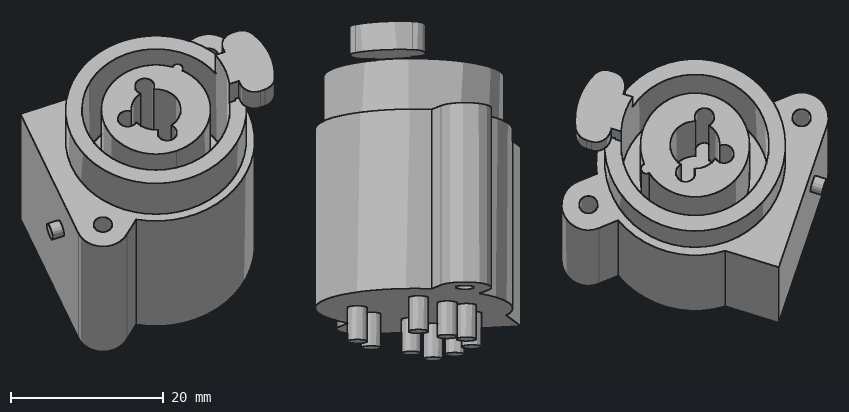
import cadquery as cq
import math


body_height = 24.0
collar_height = 7.0
latch_height = 4.2
latch_gap = 0.4
terminal_length = 4.5
collar_top = body_height + collar_height
latch_top = collar_top + latch_height

body_radius = 12.95
ear_radius = 3.5
ear_x = 10.0
ear_y = 11.45
ear_hole_radius = 1.2
corner_x = -10.5
front_y = -(ear_y + ear_radius)

collar_radius = 11.85
collar_bore_radius = 9.7
plug_radius = 7.15
key_radius = 0.7
key_angle = 135
socket_radius = 3.25
contact_radius = 1.27
contact_circle_radius = 4.0
contact_angles = (0, 180, 270)
groove_depth = 15.0

latch_width = 10.06
latch_inner_y = 10.7
latch_outer_y = 16.06
latch_crown_radius = 9.0
latch_corner_radius = 2.0
stem_width = 5.0
stem_outer_y = 10.2

pin_radius = 1.1
pin_x = 3.95
pin_z = body_height - 6.95
pin_end_y = -16.53

terminal_radius = 1.3
terminal_places = [
    (-7.14, 0),
    (-6.50, -5.07),
    (-5.13, 2.25),
    (-3.05, -9.30),
    (-2.37, 6.48),
    (0.47, -11.41),
    (2.25, -7.04),
    (6.42, -2.25),
    (7.08, 2.25),
]


def cylinder(x, y, radius, bottom, height):
    """Upright cylinder centred at (x, y) with its base at Z = bottom."""
    return cq.Workplane("XY", origin=(x, y, bottom)).circle(radius).extrude(height)


def block(x_min, x_max, y_min, y_max, bottom, height):
    """Upright rectangular block between the given limits."""
    base = cq.Workplane("XY", origin=(x_min, y_min, bottom))
    return base.rect(x_max - x_min, y_max - y_min, centered=False).extrude(height)


def make_body():
    """Round body with a square front corner and two opposite screw ears."""
    body = cylinder(0, 0, body_radius, 0, body_height)
    body = body.union(block(corner_x, 0, front_y, 0, 0, body_height))
    body = body.union(block(0, ear_x, front_y, -ear_y, 0, body_height))

    ear_spacing = 2 * math.hypot(ear_x, ear_y)
    ear_direction = math.degrees(math.atan2(-ear_y, ear_x))
    ears = (
        cq.Workplane("XY")
        .slot2D(ear_spacing + 2 * ear_radius, 2 * ear_radius, ear_direction)
        .extrude(body_height)
    )
    return body.union(ears)


def cut_ear_holes(part):
    """Drill the screw hole through each ear."""
    for side in (-1, 1):
        part = part.cut(cylinder(side * ear_x, -side * ear_y, ear_hole_radius, 0, body_height))
    return part


def make_plug():
    """Keyed round plug that stands in the ring groove."""
    floor = collar_top - groove_depth
    key_x = plug_radius * math.cos(math.radians(key_angle))
    key_y = plug_radius * math.sin(math.radians(key_angle))
    plug = cylinder(0, 0, plug_radius, floor, groove_depth)
    return plug.union(cylinder(key_x, key_y, key_radius, floor, groove_depth))


def cut_socket(part):
    """Cut the central jack opening and the contact openings around it."""
    floor = collar_top - groove_depth
    part = part.cut(cylinder(0, 0, socket_radius, floor, groove_depth))
    for angle in contact_angles:
        x = contact_circle_radius * math.cos(math.radians(angle))
        y = contact_circle_radius * math.sin(math.radians(angle))
        part = part.cut(cylinder(x, y, contact_radius, floor, groove_depth))
    return part


def make_latch():
    """Crowned thumb tab on a stem that is flush with the collar bore."""
    tab_bottom = collar_top + latch_gap
    tab_height = latch_top - tab_bottom
    half_width = latch_width / 2
    tab = block(-half_width, half_width, latch_inner_y, latch_outer_y, tab_bottom, tab_height)
    crown_y = latch_outer_y - latch_crown_radius
    tab = tab.intersect(cylinder(0, crown_y, latch_crown_radius, tab_bottom, tab_height))
    tab = tab.edges("|Z").fillet(latch_corner_radius)

    half_stem = stem_width / 2
    stem = block(-half_stem, half_stem, 0, stem_outer_y, collar_top, latch_height)
    neck = block(-half_stem, half_stem, 0, latch_inner_y, tab_bottom, tab_height)
    bore = cylinder(0, 0, collar_bore_radius, collar_top, latch_height)
    return tab.union(stem.union(neck).cut(bore))


def make_front_pin():
    """Short round pin standing out of the flat front wall."""
    base = cq.Workplane("XZ", origin=(pin_x, front_y, pin_z))
    return base.circle(pin_radius).extrude(front_y - pin_end_y)


collar = cylinder(0, 0, collar_radius, body_height, collar_height)
groove = cylinder(0, 0, collar_bore_radius, collar_top - groove_depth, groove_depth)

result = make_body().union(collar).cut(groove).union(make_plug())
result = cut_socket(cut_ear_holes(result))
result = result.union(make_latch()).union(make_front_pin())
for terminal_x, terminal_y in terminal_places:
    terminal = cylinder(terminal_x, terminal_y, terminal_radius, -terminal_length, terminal_length)
    result = result.union(terminal)